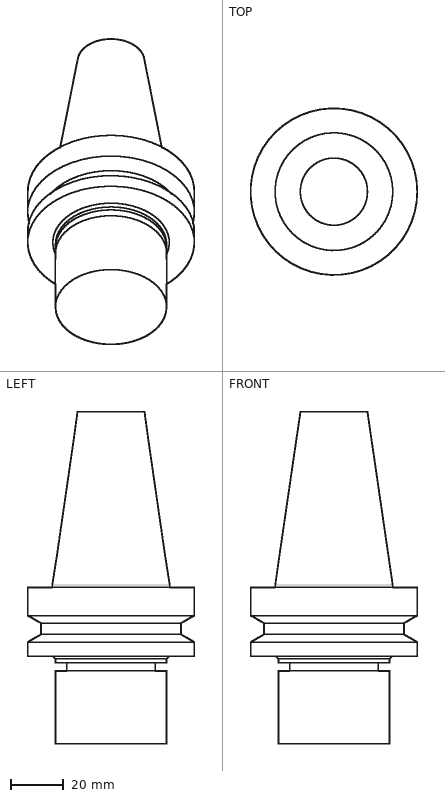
import cadquery as cq
import math


gauge_diameter = 44.45
taper_length = 65.4
taper_ratio = 7 / 24
tip_diameter = gauge_diameter - taper_length * taper_ratio

flange_diameter = 63.0
flange_top = -1.0
flange_bottom = -27.0
groove_diameter = 53.0
groove_center = -16.6
groove_mouth_width = 10.0
groove_angle = 60.0
groove_depth = (flange_diameter - groove_diameter) / 2
groove_wall_height = groove_depth * math.tan(math.radians(groove_angle / 2))
groove_floor_width = groove_mouth_width - 2 * groove_wall_height

collar_diameter = 42.0
collar_bottom = -29.5
collar_root_flare = 1.0
neck_diameter = 33.5

nut_diameter = collar_diameter
nut_top = -32.5
nut_bottom = -60.0


def make_holder():
    """Taper, flange, collar and neck as one turned body."""
    tip_radius = tip_diameter / 2
    gauge_radius = gauge_diameter / 2
    flange_radius = flange_diameter / 2
    groove_radius = groove_diameter / 2
    collar_radius = collar_diameter / 2
    neck_radius = neck_diameter / 2
    profile = [
        (0, taper_length),
        (tip_radius, taper_length),
        (gauge_radius, 0),
        (gauge_radius, flange_top),
        (flange_radius, flange_top),
        (flange_radius, groove_center + groove_mouth_width / 2),
        (groove_radius, groove_center + groove_floor_width / 2),
        (groove_radius, groove_center - groove_floor_width / 2),
        (flange_radius, groove_center - groove_mouth_width / 2),
        (flange_radius, flange_bottom),
        (collar_radius + collar_root_flare, flange_bottom),
        (collar_radius, flange_bottom - collar_root_flare),
        (collar_radius, collar_bottom),
        (neck_radius, collar_bottom),
        (neck_radius, nut_top),
        (0, nut_top),
    ]
    return cq.Workplane("XZ").polyline(profile).close().revolve(360, (0, 0), (0, 1))


def make_nut():
    """Plain round nut seated against the end of the neck."""
    nut_length = nut_top - nut_bottom
    return cq.Workplane("XY", origin=(0, 0, nut_bottom)).circle(nut_diameter / 2).extrude(nut_length)


holder = make_holder()
nut = make_nut()

result = cq.Compound.makeCompound([holder.val(), nut.val()])